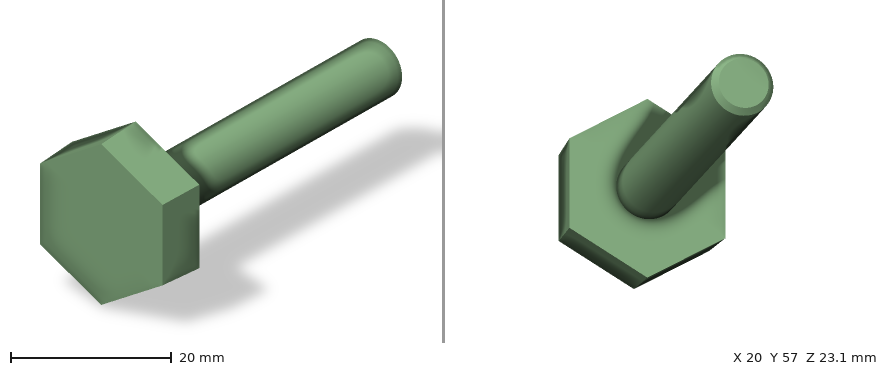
import cadquery as cq
import math

total_length = 57.0
head_height = 7.0
shank_length = total_length - head_height

head_across_flats = 20.0
head_across_corners = head_across_flats / math.cos(math.radians(30))
head_draft_angle = 3.0

shank_diameter = 8.0
tip_chamfer = 0.8


def make_head():
    """Hexagon with corners on Z, tapering from the bearing face at Y = 0 towards -Y."""
    return (
        cq.Workplane("XZ")
        .transformed(rotate=(0, 0, 90))
        .polygon(6, head_across_corners)
        .extrude(head_height, taper=head_draft_angle)
    )


def make_shank():
    """Round shank running from the bearing face towards +Y."""
    return (
        cq.Workplane("XZ")
        .circle(shank_diameter / 2)
        .extrude(-shank_length)
        .faces(">Y")
        .chamfer(tip_chamfer)
    )


result = make_head().union(make_shank())